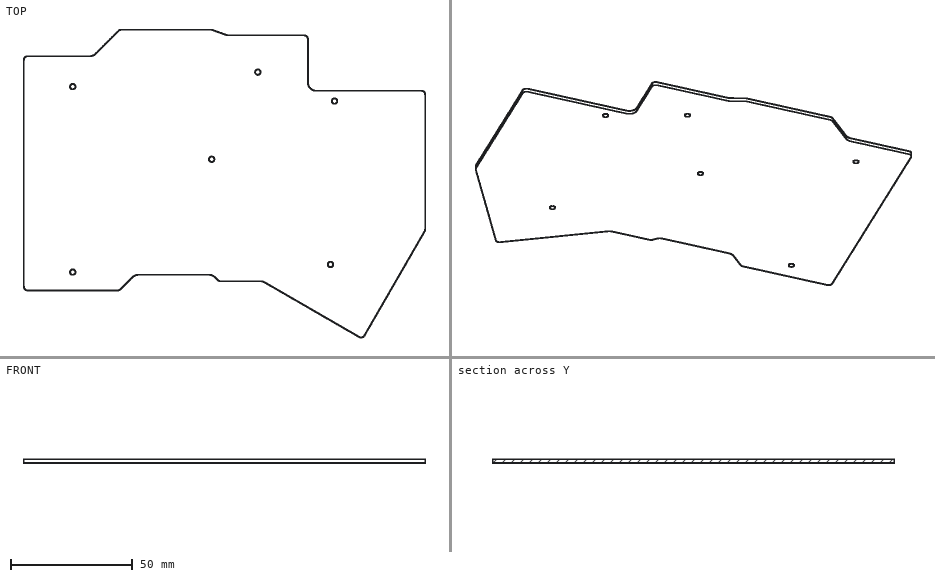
import cadquery as cq
import math

length = 165.0
height = 126.6
thickness = 1.6
corner_radius = 1.7
inner_corner_radius = 3.3
hole_diameter = 2.1

top_y = 107.3
left_shoulder_y = 96.4
right_top_y = 105.0
right_shelf_y = 82.2
recess_y = 6.5
step_y = 3.8

top_ramp_x = 28.5
top_slope_start_x = 77.2
top_slope_end_x = 83.7
shelf_wall_x = 116.9
recess_ramp_x = 39.3
recess_end_x = 77.5
wing_start_x = 98.2

wing_angle = math.radians(30)
tip_drop = height - top_y
tip_rounding_lift = corner_radius * (math.sin(wing_angle) + math.cos(wing_angle) - 1)
tip_y = -tip_drop - tip_rounding_lift
tip_x = wing_start_x + (step_y - tip_y) / math.tan(wing_angle)
wing_top_y = tip_y + (length - tip_x) / math.tan(wing_angle)

top_ramp_run = top_y - left_shoulder_y
recess_ramp_run = recess_y
step_run = recess_y - step_y

corners = [
    (0, 0, corner_radius),
    (recess_ramp_x, 0, corner_radius),
    (recess_ramp_x + recess_ramp_run, recess_y, inner_corner_radius),
    (recess_end_x, recess_y, inner_corner_radius),
    (recess_end_x + step_run, step_y, corner_radius),
    (wing_start_x, step_y, inner_corner_radius),
    (tip_x, tip_y, corner_radius),
    (length, wing_top_y, corner_radius),
    (length, right_shelf_y, corner_radius),
    (shelf_wall_x, right_shelf_y, inner_corner_radius),
    (shelf_wall_x, right_top_y, corner_radius),
    (top_slope_end_x, right_top_y, inner_corner_radius),
    (top_slope_start_x, top_y, corner_radius),
    (top_ramp_x + top_ramp_run, top_y, corner_radius),
    (top_ramp_x, left_shoulder_y, inner_corner_radius),
    (0, left_shoulder_y, corner_radius),
]

hole_centers = [
    (20.1, 83.8),
    (20.1, 7.6),
    (77.2, 54.0),
    (96.2, 89.8),
    (127.7, 77.9),
    (126.1, 10.7),
]


def round_corner(plate, x, y, radius):
    """Round the upright plate edge that stands at (x, y)."""
    reach = 0.02
    around_edge = cq.selectors.BoxSelector(
        (x - reach, y - reach, -reach),
        (x + reach, y + reach, thickness + reach),
    )
    return plate.edges("|Z").edges(around_edge).fillet(radius)


plate = cq.Workplane("XY").polyline([(x, y) for x, y, _ in corners]).close().extrude(thickness)
for x, y, radius in corners:
    plate = round_corner(plate, x, y, radius)

holes = cq.Workplane("XY").pushPoints(hole_centers).circle(hole_diameter / 2).extrude(thickness)
result = plate.cut(holes)